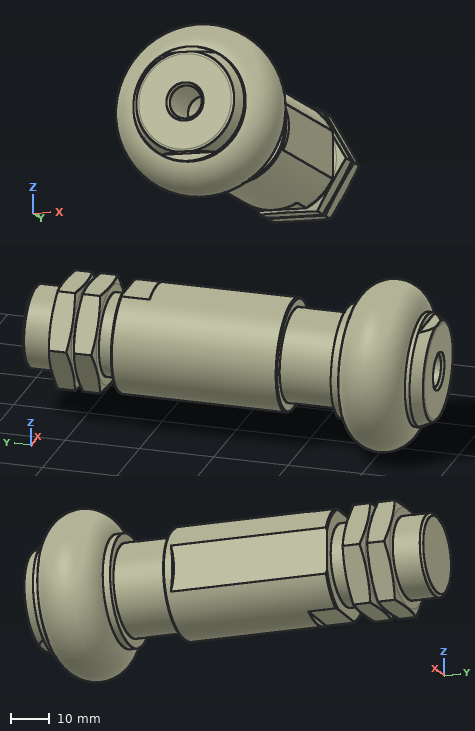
import cadquery as cq
import math

TOTAL_LENGTH = 109.0

SLEEVE_DIAMETER = 30.0
SLEEVE_FRONT = 39.0
SLEEVE_REAR = 83.8
SLEEVE_CHAMFER = 0.3
SHANK_DIAMETER = 22.0
SHANK_TIP_DIAMETER = 20.4
SHANK_TIP_LENGTH = 0.7
WRENCH_WIDTH = 27.0
WRENCH_FLAT_FRONT = 76.0
SIDE_FLAT_X = 13.6
SIDE_FLAT_FRONT = 40.8
SIDE_FLAT_BULGE = 0.9

NUT_THICKNESS = 6.0
NUT_FRONTS = (88.2, 94.9)
NUT_BEVEL_DIAMETER = 26.4
NUT_BEVEL_ANGLE = 15.0

STEM_DIAMETER = 25.0
STEM_REAR = WRENCH_FLAT_FRONT
FLANGE_DIAMETER = 30.0
FLANGE_REAR = 24.5
HEAD_TAPER_LENGTH = 3.3
HEAD_FACE_DIAMETER = 25.0
HEAD_TAPER_ANGLE = 30.0
HEAD_EDGE_LENGTH = 0.2
HEAD_FLATS_WIDTH = 26.0
HOLE_DIAMETER = 8.6
HOLE_MOUTH_DIAMETER = 10.0
HOLE_DEPTH = 16.4
HOLE_TIP_ANGLE = 59.0

RING_DIAMETER = 45.0
RING_WIDTH = 18.0
RING_CENTER = 13.5
RING_FRONT = RING_CENTER - RING_WIDTH / 2
RING_REAR = RING_CENTER + RING_WIDTH / 2


def turned(points):
    """Revolve a closed (radius, Y) outline about the Y axis."""
    return cq.Workplane("XY").polyline(points).close().revolve(360, (0, 0, 0), (0, 1, 0))


def cylinder(diameter, front, rear):
    """Solid cylinder on the Y axis."""
    radius = diameter / 2
    return turned([(0, front), (radius, front), (radius, rear), (0, rear)])


def flat_cutters(width, front, rear):
    """Two blocks that cut parallel flats facing +Z and -Z."""
    size = SLEEVE_DIAMETER
    block = cq.Workplane("XY").box(2 * size, rear - front, size)
    offset = (width + size) / 2
    middle = (front + rear) / 2
    upper = block.translate((0, middle, offset))
    lower = block.translate((0, middle, -offset))
    return upper.add(lower).combine()


def side_flat_cutter():
    """Block for the +X flat; its front end wall is an arc bulging toward +Y."""
    half_width = math.sqrt((SLEEVE_DIAMETER / 2) ** 2 - SIDE_FLAT_X ** 2)
    return (
        cq.Workplane("YZ", origin=(SIDE_FLAT_X, 0, 0))
        .moveTo(SIDE_FLAT_FRONT, -half_width)
        .threePointArc((SIDE_FLAT_FRONT + SIDE_FLAT_BULGE, 0), (SIDE_FLAT_FRONT, half_width))
        .lineTo(SLEEVE_REAR, half_width)
        .lineTo(SLEEVE_REAR, -half_width)
        .close()
        .extrude(SLEEVE_DIAMETER)
    )


def make_housing():
    sleeve_radius = SLEEVE_DIAMETER / 2
    shank_radius = SHANK_DIAMETER / 2
    housing = turned([
        (0, SLEEVE_FRONT),
        (sleeve_radius - SLEEVE_CHAMFER, SLEEVE_FRONT),
        (sleeve_radius, SLEEVE_FRONT + SLEEVE_CHAMFER),
        (sleeve_radius, SLEEVE_REAR - SLEEVE_CHAMFER),
        (sleeve_radius - SLEEVE_CHAMFER, SLEEVE_REAR),
        (shank_radius, SLEEVE_REAR),
        (shank_radius, TOTAL_LENGTH - SHANK_TIP_LENGTH),
        (SHANK_TIP_DIAMETER / 2, TOTAL_LENGTH),
        (0, TOTAL_LENGTH),
    ])
    housing = housing.cut(flat_cutters(WRENCH_WIDTH, WRENCH_FLAT_FRONT, SLEEVE_REAR))
    housing = housing.cut(side_flat_cutter())
    return housing.cut(cylinder(STEM_DIAMETER, SLEEVE_FRONT, STEM_REAR))


def make_nut(front):
    """Hexagon nut with flats facing +Z and -Z and bevelled corners."""
    rear = front + NUT_THICKNESS
    corner_diameter = WRENCH_WIDTH / math.cos(math.radians(30))
    corner_radius = corner_diameter / 2
    bevel_radius = NUT_BEVEL_DIAMETER / 2
    bevel_length = (corner_radius - bevel_radius) * math.tan(math.radians(NUT_BEVEL_ANGLE))
    hexagon = (
        cq.Workplane("XZ", origin=(0, rear, 0))
        .polygon(6, corner_diameter)
        .extrude(NUT_THICKNESS)
    )
    bevel_envelope = turned([
        (0, front),
        (bevel_radius, front),
        (corner_radius, front + bevel_length),
        (corner_radius, rear - bevel_length),
        (bevel_radius, rear),
        (0, rear),
    ])
    return hexagon.intersect(bevel_envelope).cut(cylinder(SHANK_DIAMETER, front, rear))


def make_plunger():
    stem_radius = STEM_DIAMETER / 2
    flange_radius = FLANGE_DIAMETER / 2
    taper_run = (HEAD_TAPER_LENGTH - HEAD_EDGE_LENGTH) * math.tan(math.radians(HEAD_TAPER_ANGLE))
    plunger = turned([
        (0, 0),
        (HEAD_FACE_DIAMETER / 2, 0),
        (flange_radius - taper_run, HEAD_EDGE_LENGTH),
        (flange_radius, HEAD_TAPER_LENGTH),
        (flange_radius, RING_FRONT),
        (stem_radius, RING_FRONT),
        (stem_radius, RING_REAR),
        (flange_radius, RING_REAR),
        (flange_radius, FLANGE_REAR),
        (stem_radius, FLANGE_REAR),
        (stem_radius, STEM_REAR),
        (0, STEM_REAR),
    ])
    plunger = plunger.cut(flat_cutters(HEAD_FLATS_WIDTH, 0, HEAD_TAPER_LENGTH))

    hole_radius = HOLE_DIAMETER / 2
    mouth_radius = HOLE_MOUTH_DIAMETER / 2
    tip_length = hole_radius / math.tan(math.radians(HOLE_TIP_ANGLE))
    hole = turned([
        (0, 0),
        (mouth_radius, 0),
        (hole_radius, mouth_radius - hole_radius),
        (hole_radius, HOLE_DEPTH),
        (0, HOLE_DEPTH + tip_length),
    ])
    return plunger.cut(hole)


def make_buffer_ring():
    """Ring with a half-round rim, bored to fit the stem."""
    bore_radius = STEM_DIAMETER / 2
    rim_radius = (RING_DIAMETER - RING_WIDTH) / 2
    return (
        cq.Workplane("XY")
        .moveTo(bore_radius, RING_FRONT)
        .lineTo(rim_radius, RING_FRONT)
        .threePointArc((RING_DIAMETER / 2, RING_CENTER), (rim_radius, RING_REAR))
        .lineTo(bore_radius, RING_REAR)
        .close()
        .revolve(360, (0, 0, 0), (0, 1, 0))
    )


housing = make_housing()
plunger = make_plunger()
buffer_ring = make_buffer_ring()
nuts = [make_nut(front) for front in NUT_FRONTS]

result = cq.Compound.makeCompound([
    housing.val(),
    plunger.val(),
    buffer_ring.val(),
    *[nut.val() for nut in nuts],
])